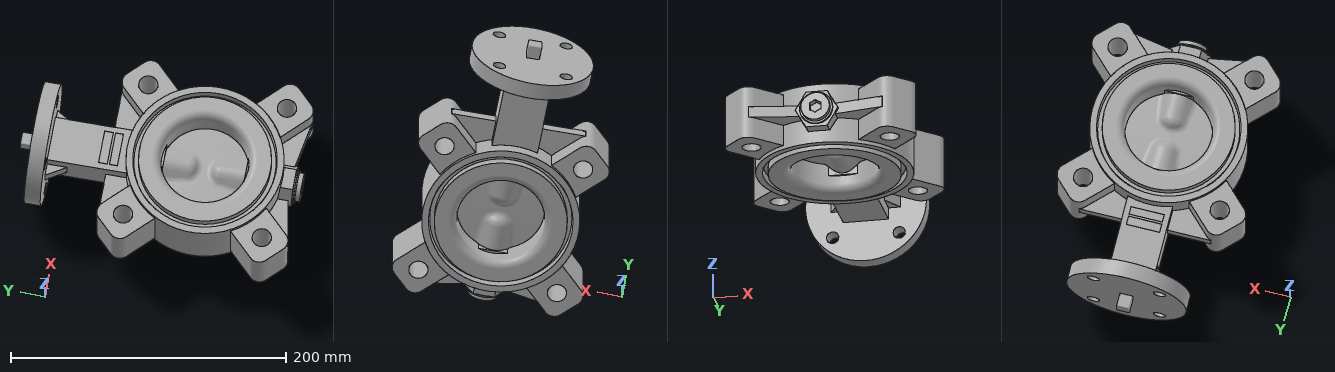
import cadquery as cq
import math


OVERALL_LENGTH = 207.7

RING_RADIUS = 57.5
RING_HALF_HEIGHT = 23.0
LINER_RADIUS = 48.4
LINER_HALF_HEIGHT = 24.5
BORE_RADIUS = 32.0
LIP_RADIUS = 6.0
EMBED_DEPTH = 2.0
EMBED_RADIUS = BORE_RADIUS + EMBED_DEPTH
GROOVE_TOP_RADIUS = 52.5
GROOVE_FLOOR_RADIUS = 51.7
GROOVE_DEPTH = 5.2

LUG_COUNT = 4
LUG_REACH = 88.7
LUG_WIDTH = 31.5
LUG_HEIGHT = 40.0
LUG_CORNER_RADIUS = 8.0
LUG_HOLE_DIAMETER = 14.0
BOLT_CIRCLE_RADIUS = 72.5

WEB_THICKNESS = 8.3
WEB_HALF_WIDTH = 49.6
WEB_EDGE_Y = 70.5
LOWER_WEB_MIDDLE_Y = 61.5

NECK_WIDTH = 33.6
NECK_HEIGHT = 27.2
FLANGE_DIAMETER = 90.0
FLANGE_THICKNESS = 12.0
FLANGE_TOP_Y = 125.7
FLANGE_HOLE_DIAMETER = 9.0
FLANGE_HOLE_OFFSET = 24.7
GUSSET_THICKNESS = 9.5
GUSSET_HALF_WIDTH = 25.8
GUSSET_LENGTH = 14.7
STEM_SIZE = 9.8
STEM_TOP_Y = 135.8
STEM_ROUNDING = 0.8

PLATE_WIDTH = 25.0
PLATE_RISE = 0.5
PLATE_SPANS_Y = ((62.5, 68.3), (70.0, 76.5))

HEX_ACROSS_FLATS = 27.5
HEX_END_Y = -66.3
COLLAR_RADIUS = 11.6
COLLAR_LENGTH = 1.0
WASHER_RADIUS = 12.3
WASHER_LENGTH = 1.0
PLUG_RADIUS = 10.5
PLUG_END_Y = STEM_TOP_Y - OVERALL_LENGTH
SOCKET_ACROSS_FLATS = 8.5
SOCKET_DEPTH = 5.2

DISC_EDGE_HALF_THICKNESS = 3.0
DISC_MIDDLE_HALF_THICKNESS = 3.7
SEAT_FLAT_Y = 30.1
SEAT_FLAT_HALF_HEIGHT = 11.8
DISC_BLANK_RADIUS = 37.4
HUB_ROOT_RADIUS = 11.0
HUB_TIP_RADIUS = 9.0
HUB_TIP_Y = 5.0
HUB_TIP_ROUNDING = 6.6
HUB_FLANK_ANGLE = 39.0
HUB_FILLET = 4.5


def bar_along_y(sketch, start_y, end_y):
    """Extrude an XZ-plane sketch function from start_y to end_y."""
    plane = cq.Workplane("XZ", origin=(0, end_y, 0))
    return sketch(plane).extrude(end_y - start_y)


def round_bar(radius, start_y, end_y):
    return bar_along_y(lambda plane: plane.circle(radius), start_y, end_y)


def hex_bar(across_flats, start_y, end_y, turn):
    """Hexagonal bar along Y; turn = 0 puts two corners on the X axis."""
    corner_diameter = across_flats / math.cos(math.pi / 6)
    bar = bar_along_y(lambda plane: plane.polygon(6, corner_diameter), start_y, end_y)
    return bar.rotate((0, 0, 0), (0, 1, 0), turn)


def make_ring():
    """Turned ring and liner, with a rounded bore lip and a face groove on both sides."""
    groove_floor = RING_HALF_HEIGHT - GROOVE_DEPTH
    lip_start = LINER_HALF_HEIGHT - LIP_RADIUS
    lip_mid_offset = LIP_RADIUS * (1 - math.sqrt(0.5))
    lip_mid = (BORE_RADIUS + lip_mid_offset, LINER_HALF_HEIGHT - lip_mid_offset)
    upper_half = (
        cq.Workplane("XZ")
        .moveTo(BORE_RADIUS, 0)
        .lineTo(BORE_RADIUS, lip_start)
        .threePointArc(lip_mid, (BORE_RADIUS + LIP_RADIUS, LINER_HALF_HEIGHT))
        .lineTo(LINER_RADIUS, LINER_HALF_HEIGHT)
        .lineTo(LINER_RADIUS, groove_floor)
        .lineTo(GROOVE_FLOOR_RADIUS, groove_floor)
        .lineTo(GROOVE_TOP_RADIUS, RING_HALF_HEIGHT)
        .lineTo(RING_RADIUS, RING_HALF_HEIGHT)
        .lineTo(RING_RADIUS, 0)
        .close()
        .revolve(360, (0, 0, 0), (0, 1, 0))
    )
    return upper_half.union(upper_half.mirror("XY"))


def make_lugs():
    """Four drilled lugs on the diagonals."""
    lug = (
        cq.Workplane("XY")
        .box(LUG_REACH, LUG_WIDTH, LUG_HEIGHT, centered=(False, True, True))
        .edges("|Z and >X")
        .fillet(LUG_CORNER_RADIUS)
    )
    hole = (
        cq.Workplane("XY")
        .center(BOLT_CIRCLE_RADIUS, 0)
        .circle(LUG_HOLE_DIAMETER / 2)
        .extrude(LUG_HEIGHT, both=True)
    )
    drilled_lug = lug.cut(hole)
    lugs = cq.Workplane("XY")
    for index in range(LUG_COUNT):
        angle = 360 / LUG_COUNT * (index + 0.5)
        lugs = lugs.union(drilled_lug.rotate((0, 0, 0), (0, 0, 1), angle))
    return lugs


def make_webs():
    """Straight upper web and shallow V-shaped lower web."""

    def web(edge_y, middle_y):
        corners = [(0, 0), (-WEB_HALF_WIDTH, edge_y), (0, middle_y), (WEB_HALF_WIDTH, edge_y)]
        return (
            cq.Workplane("XY")
            .polyline(corners)
            .close()
            .extrude(WEB_THICKNESS / 2, both=True)
        )

    return web(WEB_EDGE_Y, WEB_EDGE_Y).union(web(-WEB_EDGE_Y, -LOWER_WEB_MIDDLE_Y))


def make_neck():
    """Neck with name plates, gussets, drilled mounting flange and square stem."""
    flange_base_y = FLANGE_TOP_Y - FLANGE_THICKNESS
    neck = bar_along_y(lambda plane: plane.rect(NECK_WIDTH, NECK_HEIGHT), 0, flange_base_y)

    for start_y, end_y in PLATE_SPANS_Y:
        plate = cq.Workplane("XY").box(
            PLATE_WIDTH, end_y - start_y, NECK_HEIGHT / 2 + PLATE_RISE, centered=(True, False, False)
        )
        neck = neck.union(plate.translate((0, start_y, 0)))

    gussets = (
        cq.Workplane("XY")
        .moveTo(-GUSSET_HALF_WIDTH, flange_base_y)
        .lineTo(GUSSET_HALF_WIDTH, flange_base_y)
        .lineTo(NECK_WIDTH / 2, flange_base_y - GUSSET_LENGTH)
        .lineTo(-NECK_WIDTH / 2, flange_base_y - GUSSET_LENGTH)
        .close()
        .extrude(GUSSET_THICKNESS / 2, both=True)
    )
    flange = round_bar(FLANGE_DIAMETER / 2, flange_base_y, FLANGE_TOP_Y)
    hole_pitch = 2 * FLANGE_HOLE_OFFSET
    holes = bar_along_y(
        lambda plane: plane.rarray(hole_pitch, hole_pitch, 2, 2).circle(FLANGE_HOLE_DIAMETER / 2),
        flange_base_y,
        FLANGE_TOP_Y,
    )
    stem = bar_along_y(lambda plane: plane.rect(STEM_SIZE, STEM_SIZE), flange_base_y, STEM_TOP_Y)
    stem = stem.edges("|Y or >Y").fillet(STEM_ROUNDING)
    return neck.union(gussets).union(flange.cut(holes)).union(stem)


def make_plug():
    """Hexagon boss, collar, washer and socket-headed screw plug."""
    collar_end_y = HEX_END_Y - COLLAR_LENGTH
    washer_end_y = collar_end_y - WASHER_LENGTH
    inside_ring_y = -(LINER_RADIUS + GROOVE_FLOOR_RADIUS) / 2
    socket = hex_bar(SOCKET_ACROSS_FLATS, PLUG_END_Y, PLUG_END_Y + SOCKET_DEPTH, 30)
    return (
        hex_bar(HEX_ACROSS_FLATS, HEX_END_Y, inside_ring_y, 0)
        .union(round_bar(COLLAR_RADIUS, collar_end_y, HEX_END_Y))
        .union(round_bar(WASHER_RADIUS, washer_end_y, collar_end_y))
        .union(round_bar(PLUG_RADIUS, PLUG_END_Y, washer_end_y))
        .cut(socket)
    )


def hub_section(plane, radius):
    """Hub outline: arc on top, sloped flanks down to the middle plane of the disc."""
    angle = math.radians(HUB_FLANK_ANGLE)
    tangent_x = radius * math.sin(angle)
    tangent_z = radius * math.cos(angle)
    foot_x = tangent_x + tangent_z / math.tan(angle)
    return (
        plane.moveTo(-foot_x, 0)
        .lineTo(-tangent_x, tangent_z)
        .threePointArc((0, radius), (tangent_x, tangent_z))
        .lineTo(foot_x, 0)
        .close()
    )


def make_hub():
    """Part of the +Y hub above the middle plane, tapering towards a rounded tip near the disc centre."""
    tip = hub_section(cq.Workplane("XZ", origin=(0, HUB_TIP_Y, 0)), HUB_TIP_RADIUS)
    root = hub_section(cq.Workplane("XZ", origin=(0, DISC_BLANK_RADIUS, 0)), HUB_ROOT_RADIUS)
    hub = cq.Workplane(cq.Solid.makeLoft([tip.val(), root.val()], True))
    return hub.faces("<Y").edges("not <Z").fillet(HUB_TIP_ROUNDING)


def make_disc():
    """Conical closing disc with filleted hubs on both faces, trimmed round inside the liner."""
    blank = (
        cq.Workplane("XZ")
        .lineTo(DISC_BLANK_RADIUS, 0)
        .lineTo(DISC_BLANK_RADIUS, DISC_EDGE_HALF_THICKNESS)
        .lineTo(0, DISC_MIDDLE_HALF_THICKNESS)
        .close()
        .revolve(360, (0, 0, 0), (0, 1, 0))
    )
    hub_foot_zone = cq.selectors.BoxSelector(
        (-BORE_RADIUS / 2, -DISC_BLANK_RADIUS, DISC_EDGE_HALF_THICKNESS),
        (BORE_RADIUS / 2, DISC_BLANK_RADIUS, DISC_MIDDLE_HALF_THICKNESS),
    )
    hub = make_hub()
    hubbed = blank.union(hub).union(hub.mirror("XZ")).edges(hub_foot_zone).fillet(HUB_FILLET)
    embed_plug = cq.Workplane("XY").circle(EMBED_RADIUS).extrude(LINER_HALF_HEIGHT)
    upper_half = hubbed.intersect(embed_plug)
    return upper_half.union(upper_half.mirror("XY"))


def make_seat_flats():
    """Flat-faced segments in the bore that the hub ends bear against."""
    embed_plug = cq.Workplane("XY").circle(EMBED_RADIUS).extrude(SEAT_FLAT_HALF_HEIGHT, both=True)
    between_flats = cq.Workplane("XY").box(2 * EMBED_RADIUS, 2 * SEAT_FLAT_Y, 2 * LINER_HALF_HEIGHT)
    return embed_plug.cut(between_flats)


wall_middle = cq.Workplane("XY").circle(GROOVE_TOP_RADIUS).extrude(LINER_HALF_HEIGHT, both=True)
attachments = make_lugs().union(make_webs()).union(make_neck()).union(make_plug()).cut(wall_middle)
result = make_ring().union(attachments).union(make_seat_flats()).union(make_disc(), clean=False)